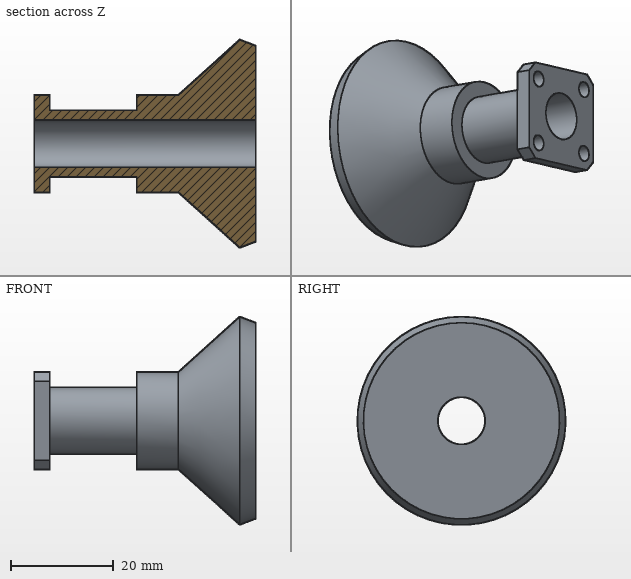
import cadquery as cq

total_length = 43.18
flange_thickness = 3.05
collar_start = 19.95
collar_length = 8.15
rim_length = 3.15

flange_side = 19.05
flange_corner_chamfer = 1.85
tube_diameter = 13.08
collar_diameter = flange_side
horn_diameter = 40.61
rim_end_diameter = 38.2
bore_diameter = 9.14

hole_diameter = 3.0
hole_spacing_y = 13.46
hole_spacing_z = 12.7

collar_end = collar_start + collar_length
rim_start = total_length - rim_length


def make_flange():
    """Square flange at the X = 0 end with chamfered corners."""
    plate = cq.Workplane("YZ").rect(flange_side, flange_side).extrude(flange_thickness)
    return plate.edges("|X").chamfer(flange_corner_chamfer)


def make_turned_body():
    """Tube, collar, flared horn and tapered rim as one revolved profile."""
    profile = (
        cq.Workplane("XZ")
        .moveTo(0, 0)
        .lineTo(0, tube_diameter / 2)
        .lineTo(collar_start, tube_diameter / 2)
        .lineTo(collar_start, collar_diameter / 2)
        .lineTo(collar_end, collar_diameter / 2)
        .lineTo(rim_start, horn_diameter / 2)
        .lineTo(total_length, rim_end_diameter / 2)
        .lineTo(total_length, 0)
        .close()
    )
    return profile.revolve(360, (0, 0, 0), (1, 0, 0))


def make_bore():
    """Round passage along the full length of the axis."""
    return cq.Workplane("YZ").circle(bore_diameter / 2).extrude(total_length)


def make_flange_holes():
    """Four mounting holes through the flange."""
    return (
        cq.Workplane("YZ")
        .rarray(hole_spacing_y, hole_spacing_z, 2, 2)
        .circle(hole_diameter / 2)
        .extrude(flange_thickness)
    )


result = make_flange().union(make_turned_body()).cut(make_bore()).cut(make_flange_holes())